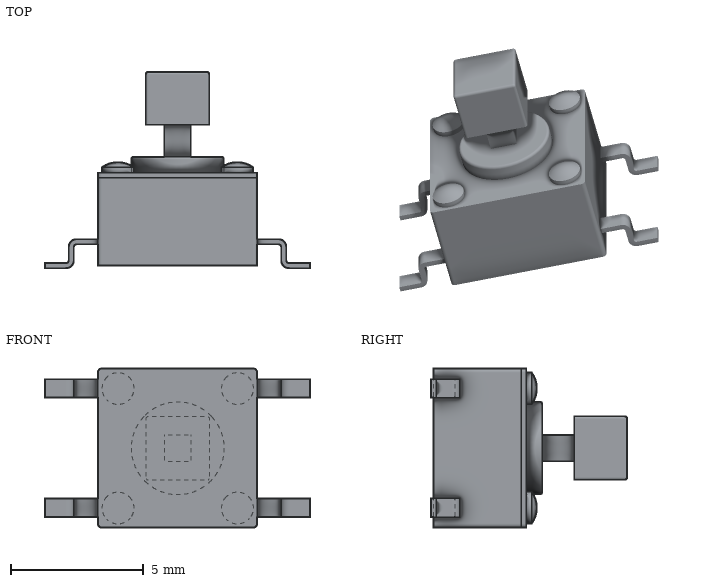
import cadquery as cq


HOUSING_WIDTH = 6.0
HOUSING_DEPTH = 3.5
COVER_THICKNESS = 0.2
BASE_DEPTH = HOUSING_DEPTH - COVER_THICKNESS
HOUSING_CORNER_RADIUS = 0.15

RIVET_DIAMETER = 1.2
RIVET_RIM_HEIGHT = 0.2
RIVET_DOME_HEIGHT = 0.2

COLLAR_DIAMETER = 3.5
COLLAR_HEIGHT = 0.6
STEM_WIDTH = 1.0
STEM_LENGTH = 1.2
HEAD_WIDTH = 2.4
HEAD_LENGTH = 2.0
BUTTON_EDGE_RADIUS = 0.1

TERMINAL_SPAN = 10.0
TERMINAL_WIDTH = 0.7
TERMINAL_THICKNESS = 0.2
SHANK_OUTER_X = 4.1
SHOULDER_TOP_Y = 1.0
FOOT_BOTTOM_Y = -0.1
INNER_BEND_RADIUS = 0.1
OUTER_BEND_RADIUS = INNER_BEND_RADIUS + TERMINAL_THICKNESS

CORNER_OFFSET = 2.25


def square_block(width, start_y, length):
    """Square block centred on the Y axis, from start_y towards +Y."""
    return cq.Workplane("XY").box(width, length, width).translate((0, start_y + length / 2, 0))


def housing_slab(start_y, length):
    """Slice of the housing with its rounded corners."""
    return square_block(HOUSING_WIDTH, start_y, length).edges("|Y").fillet(HOUSING_CORNER_RADIUS)


def make_base():
    return housing_slab(0, BASE_DEPTH)


def make_rivet_head(x, z):
    """Short cylinder with a domed top, standing on the cover."""
    radius = RIVET_DIAMETER / 2
    dome_radius = (radius**2 + RIVET_DOME_HEIGHT**2) / (2 * RIVET_DOME_HEIGHT)
    top_y = RIVET_RIM_HEIGHT + RIVET_DOME_HEIGHT
    half_profile = (
        cq.Workplane("XY")
        .lineTo(radius, 0)
        .lineTo(radius, RIVET_RIM_HEIGHT)
        .radiusArc((0, top_y), -dome_radius)
        .close()
    )
    head = half_profile.revolve(360, (0, 0, 0), (0, 1, 0))
    return head.translate((x, HOUSING_DEPTH, z))


def make_button():
    """Collar, stem and head, standing on the cover."""
    collar = (
        cq.Workplane("XZ", origin=(0, HOUSING_DEPTH, 0))
        .circle(COLLAR_DIAMETER / 2)
        .extrude(-COLLAR_HEIGHT)
        .faces(">Y")
        .edges()
        .fillet(BUTTON_EDGE_RADIUS)
    )
    stem_start = HOUSING_DEPTH + COLLAR_HEIGHT
    head_start = stem_start + STEM_LENGTH
    stem = square_block(STEM_WIDTH, stem_start, STEM_LENGTH)
    head = (
        square_block(HEAD_WIDTH, head_start, HEAD_LENGTH)
        .edges("|Y or >Y")
        .fillet(BUTTON_EDGE_RADIUS)
    )
    return collar.union(stem).union(head)


def make_button_cover():
    """Cover plate in one piece with the button and the four rivet heads."""
    cover = housing_slab(BASE_DEPTH, COVER_THICKNESS).union(make_button())
    for x in (-CORNER_OFFSET, CORNER_OFFSET):
        for z in (-CORNER_OFFSET, CORNER_OFFSET):
            cover = cover.union(make_rivet_head(x, z))
    return cover


def make_terminal(side, z):
    """Bent strip butting on the base wall; side is +1 for +X and -1 for -X."""
    wall_x = HOUSING_WIDTH / 2
    tip_x = TERMINAL_SPAN / 2
    shank_inner_x = SHANK_OUTER_X - TERMINAL_THICKNESS
    shoulder_bottom_y = SHOULDER_TOP_Y - TERMINAL_THICKNESS
    foot_top_y = FOOT_BOTTOM_Y + TERMINAL_THICKNESS
    shoulder_bend_x = shank_inner_x - INNER_BEND_RADIUS
    shoulder_bend_y = shoulder_bottom_y - INNER_BEND_RADIUS
    foot_bend_x = SHANK_OUTER_X + INNER_BEND_RADIUS
    foot_bend_y = foot_top_y + INNER_BEND_RADIUS
    strip = (
        cq.Workplane("XY", origin=(0, 0, z))
        .moveTo(wall_x, SHOULDER_TOP_Y)
        .lineTo(shoulder_bend_x, SHOULDER_TOP_Y)
        .radiusArc((SHANK_OUTER_X, shoulder_bend_y), OUTER_BEND_RADIUS)
        .lineTo(SHANK_OUTER_X, foot_bend_y)
        .radiusArc((foot_bend_x, foot_top_y), -INNER_BEND_RADIUS)
        .lineTo(tip_x, foot_top_y)
        .lineTo(tip_x, FOOT_BOTTOM_Y)
        .lineTo(foot_bend_x, FOOT_BOTTOM_Y)
        .radiusArc((shank_inner_x, foot_bend_y), OUTER_BEND_RADIUS)
        .lineTo(shank_inner_x, shoulder_bend_y)
        .radiusArc((shoulder_bend_x, shoulder_bottom_y), -INNER_BEND_RADIUS)
        .lineTo(wall_x, shoulder_bottom_y)
        .close()
        .extrude(TERMINAL_WIDTH / 2, both=True)
    )
    return strip if side > 0 else strip.mirror("YZ")


base = make_base()
button_cover = make_button_cover()
terminals = []
for side in (-1, 1):
    for z in (-CORNER_OFFSET, CORNER_OFFSET):
        terminals.append(make_terminal(side, z).val())

result = cq.Compound.makeCompound([base.val(), button_cover.val(), *terminals])